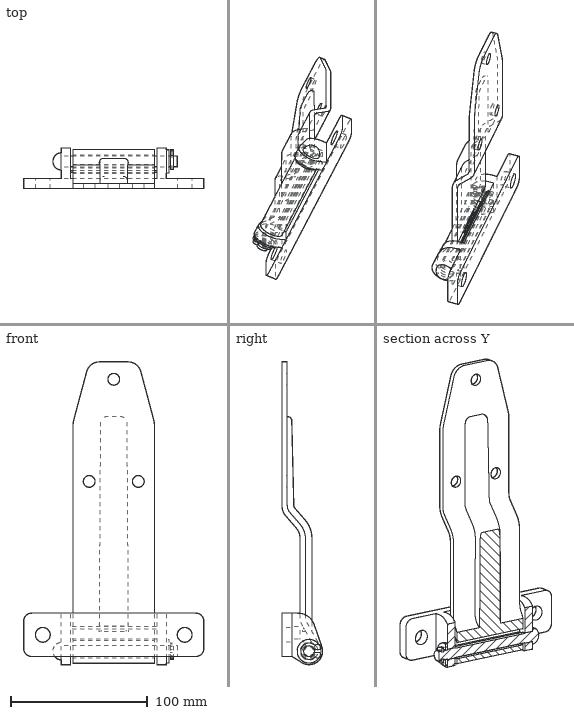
import cadquery as cq
import math


ear_radius = 10.0
axis_y = 20.0
axis_z = ear_radius
axis = (axis_y, axis_z)
overall_depth = axis_y + ear_radius
plate_length = 132.0
plate_height = 32.0
plate_thickness = 7.5
plate_bottom = 6.0
plate_top = plate_bottom + plate_height
plate_corner_radius = 6.0
mount_hole_diameter = 10.7
mount_hole_spacing = 104.0
ear_inner_x = 31.5
ear_thickness = 7.0
ear_outer_x = ear_inner_x + ear_thickness
ear_flat_end_y = 11.5
ear_shoulder_radius = 13.0
stop_depth = 5.8
stop_bottom = 18.9
stop_top = 28.0
stop_chamfer = 1.5

strap_top = 222.0
strap_width = 60.0
strap_thickness = 4.0
half_thickness = strap_thickness / 2
nose_width = 36.0
nose_start_z = 177.2
nose_corner_radius = 10.0
shoulder_radius = 20.0
strap_hole_diameter = 8.5
top_hole_z = 209.1
side_hole_z = 134.3
side_hole_spacing = 36.0
crank_top = 116.8
crank_offset = 13.3
crank_angle = math.radians(41)
upper_bend_radius = 8.0 + half_thickness
lower_bend_radius = 12.0 + half_thickness
curl_bend_start_z = 35.7
curl_bend_radius = 10.9 + half_thickness
curl_outer_radius = 8.9
curl_radius = curl_outer_radius - half_thickness
curl_wrap = math.radians(270)

rib_top = 181.8
rib_bottom = 24.5
rib_top_width = 19.3
rib_bottom_width = 21.3
rib_top_height = 3.3
rib_height = 4.9
rib_corner_radius = 4.7
rib_edge_radius = 3.0

pin_radius = 4.0
pin_end_x = 46.6
head_radius = 6.5
head_height = 6.0
washer_radius = 8.7
washer_thickness = 2.0
clip_x = 41.7
clip_thickness = 2.0
clip_radius = 6.0
groove_radius = 3.3
lug_radius = 2.2
lug_y = 6.5
lug_z = 2.9
clip_gap = 2.2


def polar(center, radius, angle):
    """Point at an angle on a circle in the YZ plane; zero points to +Y."""
    return (center[0] + radius * math.cos(angle), center[1] + radius * math.sin(angle))


def x_cylinder(radius, start_x, length, y=axis_y, z=axis_z):
    """Cylinder along X."""
    return cq.Workplane("YZ", origin=(start_x, y, z)).circle(radius).extrude(length)


def holes_along_y(diameter, places):
    """Cutters at the given (x, z) places, long enough to pass through the plate or the upper strap."""
    cutters = cq.Workplane("XZ").pushPoints(places).circle(diameter / 2)
    return cutters.extrude(-plate_thickness)


def make_ear(start_x):
    """Ear with a round end about the pin axis, tangent to a rounded shoulder at the top."""
    shoulder = (ear_flat_end_y, plate_top - ear_shoulder_radius)
    offset = (shoulder[0] - axis_y, shoulder[1] - axis_z)
    back_angle = math.atan2(offset[1], offset[0]) - math.acos(
        (ear_radius - ear_shoulder_radius) / math.hypot(*offset)
    )
    lower_corner = (plate_thickness, plate_bottom)
    corner_offset = (lower_corner[0] - axis_y, lower_corner[1] - axis_z)
    under_angle = math.atan2(corner_offset[1], corner_offset[0]) + math.acos(
        ear_radius / math.hypot(*corner_offset)
    )
    shoulder_mid_angle = (math.pi / 2 + back_angle) / 2
    end_mid_angle = (back_angle + under_angle) / 2
    outline = (
        cq.Workplane("YZ", origin=(start_x, 0, 0))
        .moveTo(0, plate_bottom)
        .lineTo(0, plate_top)
        .lineTo(ear_flat_end_y, plate_top)
        .threePointArc(
            polar(shoulder, ear_shoulder_radius, shoulder_mid_angle),
            polar(shoulder, ear_shoulder_radius, back_angle),
        )
        .lineTo(*polar(axis, ear_radius, back_angle))
        .threePointArc(
            polar(axis, ear_radius, end_mid_angle),
            polar(axis, ear_radius, under_angle),
        )
        .lineTo(*lower_corner)
        .close()
    )
    return outline.extrude(ear_thickness)


def make_bracket():
    """Mounting plate with two ears and a chamfered stop bar between them."""
    plate = (
        cq.Workplane("XY")
        .box(plate_length, plate_thickness, plate_height, centered=(True, False, False))
        .translate((0, 0, plate_bottom))
        .edges("|Y")
        .fillet(plate_corner_radius)
    )
    stop = (
        cq.Workplane("XY")
        .box(2 * ear_inner_x, stop_depth, stop_top - stop_bottom, centered=(True, False, False))
        .translate((0, plate_thickness, stop_bottom))
        .edges(">Y and >Z")
        .chamfer(stop_chamfer)
    )
    bracket = plate.union(stop)
    for start_x in (-ear_outer_x, ear_inner_x):
        bracket = bracket.union(make_ear(start_x))
    hole_z = plate_bottom + plate_height / 2
    hole_places = [(side * mount_hole_spacing / 2, hole_z) for side in (-1, 1)]
    bracket = bracket.cut(holes_along_y(mount_hole_diameter, hole_places))
    return bracket.cut(x_cylinder(pin_radius, -ear_outer_x, 2 * ear_outer_x))


upper_y = half_thickness
leg_y = upper_y + crank_offset
bend_rise = 1 - math.cos(crank_angle)
upper_bend_end = (
    upper_y + upper_bend_radius * bend_rise,
    crank_top - upper_bend_radius * math.sin(crank_angle),
)
slope_depth = crank_offset - (upper_bend_radius + lower_bend_radius) * bend_rise
slope_end = (
    upper_bend_end[0] + slope_depth,
    upper_bend_end[1] - slope_depth / math.tan(crank_angle),
)
crank_bottom = slope_end[1] - lower_bend_radius * math.sin(crank_angle)


def make_sheet():
    """Constant-thickness sheet swept along its middle line."""
    upper_bend_center = (upper_y + upper_bend_radius, crank_top)
    lower_bend_center = (leg_y - lower_bend_radius, crank_bottom)
    curl_bend_center = (leg_y + curl_bend_radius, curl_bend_start_z)
    offset = (curl_bend_center[0] - axis_y, curl_bend_center[1] - axis_z)
    curl_angle = math.atan2(offset[1], offset[0]) - math.acos(
        (curl_bend_radius + curl_radius) / math.hypot(*offset)
    )
    path = (
        cq.Workplane("YZ")
        .moveTo(upper_y, strap_top)
        .lineTo(upper_y, crank_top)
        .threePointArc(
            polar(upper_bend_center, upper_bend_radius, math.pi + crank_angle / 2),
            upper_bend_end,
        )
        .lineTo(*slope_end)
        .threePointArc(
            polar(lower_bend_center, lower_bend_radius, crank_angle / 2),
            (leg_y, crank_bottom),
        )
        .lineTo(leg_y, curl_bend_start_z)
        .threePointArc(
            polar(curl_bend_center, curl_bend_radius, math.pi + curl_angle / 2),
            polar(curl_bend_center, curl_bend_radius, math.pi + curl_angle),
        )
        .lineTo(*polar(axis, curl_radius, curl_angle))
        .threePointArc(
            polar(axis, curl_radius, curl_angle - curl_wrap / 2),
            polar(axis, curl_radius, curl_angle - curl_wrap),
        )
    )
    section = cq.Workplane("XY", origin=(0, upper_y, strap_top)).rect(strap_width, strap_thickness)
    return section.sweep(path)


def make_nose_trim():
    """Tapered outline of the strap's upper end, seen along Y, reaching below the curl."""
    half_width = strap_width / 2
    half_nose = nose_width / 2
    return (
        cq.Workplane("XZ")
        .polyline(
            [
                (-half_width, 0),
                (half_width, 0),
                (half_width, nose_start_z),
                (half_nose, strap_top),
                (-half_nose, strap_top),
                (-half_width, nose_start_z),
            ]
        )
        .close()
        .extrude(-overall_depth)
        .edges("|Y exc (>Z or <Z)")
        .fillet(shoulder_radius)
        .edges("|Y and >Z")
        .fillet(nose_corner_radius)
    )


def make_rib():
    """Rounded rib that follows the crank and narrows towards its upper end."""
    shift = half_thickness + rib_height
    upper_center = (upper_y + upper_bend_radius, crank_top)
    lower_center = (leg_y - lower_bend_radius, crank_bottom)
    inner_radius = upper_bend_radius - shift
    outer_radius = lower_bend_radius + shift
    upper_mid = math.pi + crank_angle / 2
    side = (
        cq.Workplane("YZ")
        .moveTo(upper_y, rib_top)
        .lineTo(upper_y + half_thickness + rib_top_height, rib_top)
        .lineTo(upper_y + shift, crank_top)
        .threePointArc(
            polar(upper_center, inner_radius, upper_mid),
            polar(upper_center, inner_radius, math.pi + crank_angle),
        )
        .lineTo(*polar(lower_center, outer_radius, crank_angle))
        .threePointArc(
            polar(lower_center, outer_radius, crank_angle / 2),
            polar(lower_center, outer_radius, 0),
        )
        .lineTo(leg_y + shift, rib_bottom)
        .lineTo(leg_y, rib_bottom)
        .lineTo(leg_y, crank_bottom)
        .threePointArc(
            polar(lower_center, lower_bend_radius, crank_angle / 2),
            slope_end,
        )
        .lineTo(*upper_bend_end)
        .threePointArc(
            polar(upper_center, upper_bend_radius, upper_mid),
            (upper_y, crank_top),
        )
        .close()
    )
    plan = (
        cq.Workplane("XZ")
        .polyline(
            [
                (-rib_bottom_width / 2, rib_bottom),
                (rib_bottom_width / 2, rib_bottom),
                (rib_top_width / 2, rib_top),
                (-rib_top_width / 2, rib_top),
            ]
        )
        .close()
        .extrude(-overall_depth)
        .edges("|Y and >Z")
        .fillet(rib_corner_radius)
    )
    rib = side.extrude(rib_bottom_width, both=True).intersect(plan)
    return rib.faces(">Y").edges("not |X").fillet(rib_edge_radius)


def make_strap():
    """Cranked sheet with its tapered nose, rib and screw holes."""
    strap = make_sheet().intersect(make_nose_trim()).union(make_rib())
    hole_places = [(0, top_hole_z)]
    hole_places += [(side * side_hole_spacing / 2, side_hole_z) for side in (-1, 1)]
    return strap.cut(holes_along_y(strap_hole_diameter, hole_places))


def make_pin():
    """Domed pin with a groove for the circlip."""
    dome_radius = (head_radius**2 + head_height**2) / (2 * head_height)
    dome_angle = math.asin(head_radius / dome_radius) / 2
    crown_x = -ear_outer_x - head_height
    dome_mid = (
        crown_x + dome_radius * (1 - math.cos(dome_angle)),
        dome_radius * math.sin(dome_angle),
    )
    half_profile = (
        cq.Workplane("XY", origin=(0, *axis))
        .moveTo(crown_x, 0)
        .threePointArc(dome_mid, (-ear_outer_x, head_radius))
        .lineTo(-ear_outer_x, pin_radius)
        .lineTo(clip_x, pin_radius)
        .lineTo(clip_x, groove_radius)
        .lineTo(clip_x + clip_thickness, groove_radius)
        .lineTo(clip_x + clip_thickness, pin_radius)
        .lineTo(pin_end_x, pin_radius)
        .lineTo(pin_end_x, 0)
        .close()
    )
    return half_profile.revolve(360, (0, 0, 0), (1, 0, 0))


def make_washer():
    """Plain washer against the outside of the ear."""
    washer = x_cylinder(washer_radius, ear_outer_x, washer_thickness)
    return washer.cut(x_cylinder(pin_radius, ear_outer_x, washer_thickness))


def make_circlip():
    """Ring in the pin groove, open towards +Y between two lugs."""
    clip = x_cylinder(clip_radius, clip_x, clip_thickness)
    for side in (-1, 1):
        lug = x_cylinder(lug_radius, clip_x, clip_thickness, axis_y + lug_y, axis_z + side * lug_z)
        clip = clip.union(lug)
    clip = clip.cut(x_cylinder(groove_radius, clip_x, clip_thickness))
    opening = (
        cq.Workplane("XY")
        .box(clip_thickness, lug_y + lug_radius, clip_gap, centered=(False, False, True))
        .translate((clip_x, axis_y, axis_z))
    )
    return clip.cut(opening)


bracket = make_bracket()
strap = make_strap()
pin = make_pin()
washer = make_washer()
circlip = make_circlip()

result = cq.Compound.makeCompound(
    [bracket.val(), strap.val(), pin.val(), washer.val(), circlip.val()]
)